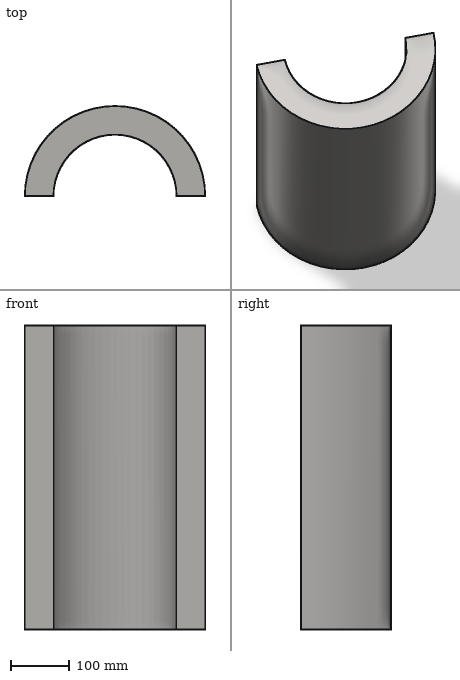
import cadquery as cq

length = 522.0
outer_radius = 155.0
wall = 49.5
inner_radius = outer_radius - wall

section = (
    cq.Workplane("XY")
    .moveTo(outer_radius, 0)
    .threePointArc((0, outer_radius), (-outer_radius, 0))
    .lineTo(-inner_radius, 0)
    .threePointArc((0, inner_radius), (inner_radius, 0))
    .close()
)

result = section.extrude(length)